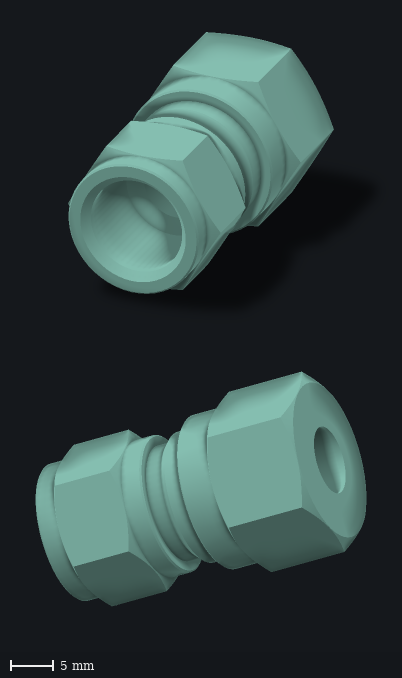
import cadquery as cq
import math

SMALL_HEX_START = 2.55
SMALL_HEX_END = 11.47
SMALL_NUT_END = 14.05
NECK_END = 15.95
SHOULDER_CONE_END = 16.97
LARGE_NUT_START = 19.3
LARGE_HEX_START = 23.33
LENGTH = 34.77

SMALL_FLATS = 17.0
SMALL_COLLAR_RADIUS = 8.38
NECK_RADIUS = 7.05
SHOULDER_RADIUS = 8.0
LARGE_FLATS = 19.0
LARGE_COLLAR_RADIUS = 9.42
EDGE_CHAMFER = 0.2
HEX_CHAMFER_ANGLE = 30

MOUTH_RADIUS = 6.78
MOUTH_DEPTH = 1.05
SOCKET_RADIUS = 5.88
SOCKET_DEPTH = 11.47
PASSAGE_RADIUS = 4.07
FLOOR_CONE_ANGLE = 30
FLOOR_CONE_DEPTH = (SOCKET_RADIUS - PASSAGE_RADIUS) * math.tan(math.radians(FLOOR_CONE_ANGLE))


def turned(outline):
    """Revolve a (radius, y) outline around the Y axis, closed along the axis."""
    points = [(0, outline[0][1])] + outline + [(0, outline[-1][1])]
    return cq.Workplane("XY").polyline(points).close().revolve(360, (0, 0, 0), (0, 1, 0))


def cylinder(radius, start, end):
    return turned([(radius, start), (radius, end)])


def chamfered_hex(flats, face_radius, start, end):
    """Hexagon with corners on +X and -X, its corners turned off conically at both ends."""
    corner_radius = flats / math.sqrt(3)
    prism = (
        cq.Workplane("XZ", origin=(0, start, 0))
        .polygon(6, 2 * corner_radius)
        .extrude(start - end)
    )
    chamfer = (corner_radius - face_radius) * math.tan(math.radians(HEX_CHAMFER_ANGLE))
    envelope = turned([
        (face_radius, start),
        (corner_radius, start + chamfer),
        (corner_radius, end - chamfer),
        (face_radius, end),
    ])
    return prism.intersect(envelope)


def small_nut():
    collar = cylinder(SMALL_COLLAR_RADIUS, 0, SMALL_NUT_END).faces("<Y or >Y").chamfer(EDGE_CHAMFER)
    return collar.union(
        chamfered_hex(SMALL_FLATS, SMALL_COLLAR_RADIUS, SMALL_HEX_START, SMALL_HEX_END)
    )


def body():
    return turned([
        (NECK_RADIUS, SMALL_HEX_END),
        (NECK_RADIUS, NECK_END),
        (SHOULDER_RADIUS, SHOULDER_CONE_END),
        (SHOULDER_RADIUS, LARGE_HEX_START),
    ])


def large_nut():
    collar_end = (LARGE_HEX_START + LENGTH) / 2
    collar = cylinder(LARGE_COLLAR_RADIUS, LARGE_NUT_START, collar_end).faces("<Y").chamfer(EDGE_CHAMFER)
    return collar.union(chamfered_hex(LARGE_FLATS, LARGE_COLLAR_RADIUS, LARGE_HEX_START, LENGTH))


def bore():
    return turned([
        (MOUTH_RADIUS, 0),
        (SOCKET_RADIUS, MOUTH_DEPTH),
        (SOCKET_RADIUS, SOCKET_DEPTH),
        (PASSAGE_RADIUS, SOCKET_DEPTH + FLOOR_CONE_DEPTH),
        (PASSAGE_RADIUS, LENGTH),
    ])


result = small_nut().union(body()).union(large_nut()).cut(bore())